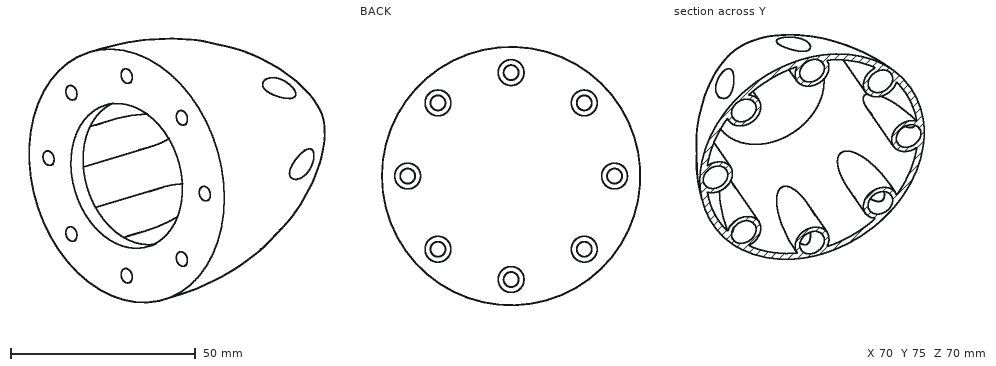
import cadquery as cq
import math

base_radius = 35.0
total_length = 75.0
base_band = 5.0
ogive_length = 75.0
nose_fillet = 8.5

wall = 2.0
plate_thickness = 5.0
opening_radius = 20.0
cavity_end_radius = 16.15

screw_count = 8
screw_circle_radius = 28.0
screw_hole_diameter = 4.0
access_diameter = 7.0
tube_diameter = 10.0
seat_height = plate_thickness

ogive_radius = (base_radius**2 + ogive_length**2) / (2 * base_radius)
arc_center_x = base_radius - ogive_radius


def ogive_point(arc_radius, y):
    """Point of an arc concentric with the ogive, at height y."""
    rise = y - base_band
    return (arc_center_x + math.sqrt(arc_radius**2 - rise**2), y)


def ogive_body(arc_radius, start_y, end_y):
    """Solid of revolution about Y, bounded by an arc concentric with the ogive."""
    band_radius = arc_center_x + arc_radius
    profile = cq.Workplane("XY").moveTo(0, start_y).lineTo(band_radius, start_y)
    if start_y < base_band:
        profile = profile.lineTo(band_radius, base_band)
    profile = profile.threePointArc(
        ogive_point(arc_radius, (base_band + end_y) / 2),
        ogive_point(arc_radius, end_y),
    )
    profile = profile.lineTo(0, end_y).close()
    return profile.revolve(360, (0, 0, 0), (0, 1, 0))


def cylinder_along_y(diameter, start_y, end_y, x=0.0, z=0.0):
    """Cylinder parallel to Y between two heights."""
    return cq.Workplane(
        cq.Solid.makeCylinder(
            diameter / 2, end_y - start_y, cq.Vector(x, start_y, z), cq.Vector(0, 1, 0)
        )
    )


def at_each_screw(diameter, start_y, end_y):
    """One cylinder at every screw position."""
    cylinders = cq.Workplane()
    for index in range(screw_count):
        angle = 2 * math.pi * index / screw_count
        x = screw_circle_radius * math.cos(angle)
        z = screw_circle_radius * math.sin(angle)
        cylinders = cylinders.add(cylinder_along_y(diameter, start_y, end_y, x, z))
    return cylinders.combine()


body = ogive_body(ogive_radius, 0, total_length).faces(">Y").edges().fillet(nose_fillet)

cavity_arc_radius = ogive_radius - wall
cavity_end_rise = math.sqrt(cavity_arc_radius**2 - (cavity_end_radius - arc_center_x) ** 2)
cavity_end = base_band + cavity_end_rise
cavity = ogive_body(cavity_arc_radius, plate_thickness, cavity_end)
cavity = cavity.cut(at_each_screw(tube_diameter, plate_thickness, total_length))
body = body.cut(cavity)

body = body.cut(cylinder_along_y(2 * opening_radius, 0, plate_thickness))

body = body.cut(at_each_screw(screw_hole_diameter, 0, seat_height))
result = body.cut(at_each_screw(access_diameter, seat_height, total_length))